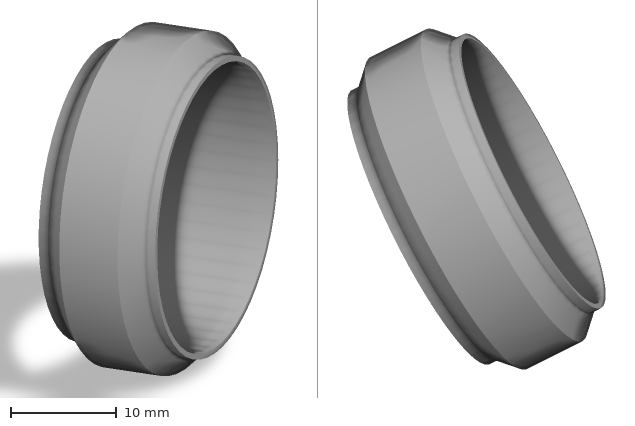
import cadquery as cq

outer_diameter = 33.0
lip_diameter = 29.0
bore_diameter = 28.0
ring_width = 12.0
crown_width = 6.0
lip_width = 1.0

outer_radius = outer_diameter / 2
lip_radius = lip_diameter / 2
bore_radius = bore_diameter / 2
end_x = ring_width / 2
crown_x = crown_width / 2
shoulder_x = end_x - lip_width

wall_section = [
    (-end_x, bore_radius),
    (-end_x, lip_radius),
    (-shoulder_x, lip_radius),
    (-crown_x, outer_radius),
    (crown_x, outer_radius),
    (shoulder_x, lip_radius),
    (end_x, lip_radius),
    (end_x, bore_radius),
]

result = (
    cq.Workplane("XY")
    .polyline(wall_section)
    .close()
    .revolve(360, (0, 0, 0), (1, 0, 0))
)